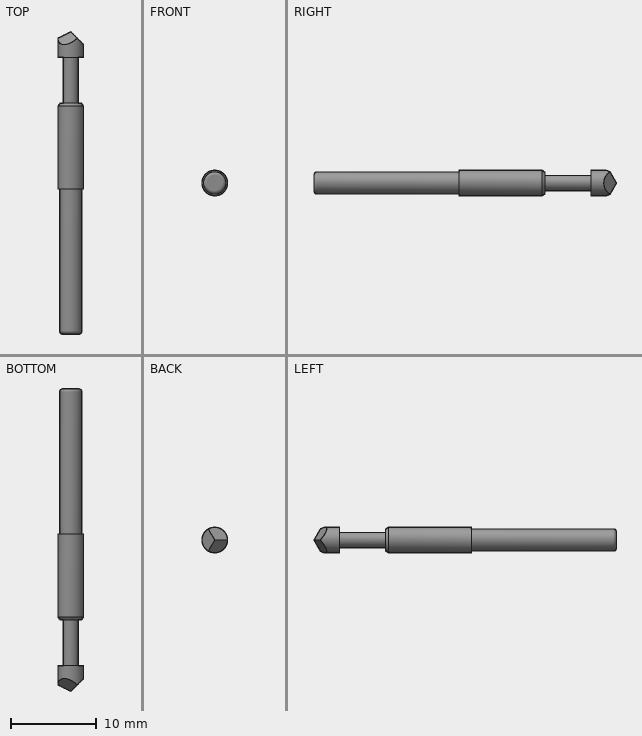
import cadquery as cq
import math

head_diameter = 3.0
barrel_diameter = 3.0
plunger_diameter = 1.8
tail_diameter = 2.6

total_length = 35.3
head_length = 3.0
barrel_start = 8.33
barrel_end = 18.35

barrel_chamfer_radial = 0.25
barrel_chamfer_axial = 0.35
tail_fillet = 0.4

facet_count = 3
facet_angle = 45.0

tip_y = total_length / 2


def cylinder(diameter, start, end):
    """Solid cylinder on the Y axis between two distances back from the tip."""
    return (
        cq.Workplane("XZ", origin=(0, tip_y - start, 0))
        .circle(diameter / 2)
        .extrude(end - start)
    )


def make_pyramid():
    """Pyramid with its apex at the tip and one facet facing +X."""
    facet_distance = head_length / math.tan(math.radians(facet_angle))
    corner_distance = facet_distance / math.cos(math.pi / facet_count)
    corners = []
    for index in range(facet_count):
        angle = (2 * index + 1) * math.pi / facet_count
        corners.append((corner_distance * math.cos(angle), corner_distance * math.sin(angle)))

    base_y = tip_y - head_length
    apex = cq.Vector(0, tip_y, 0)
    base = [cq.Vector(x, base_y, z) for x, z in corners]
    faces = [cq.Face.makeFromWires(cq.Wire.makePolygon(base, close=True))]
    for index in range(facet_count):
        triangle = [base[index], base[(index + 1) % facet_count], apex]
        faces.append(cq.Face.makeFromWires(cq.Wire.makePolygon(triangle, close=True)))
    return cq.Workplane(cq.Solid.makeSolid(cq.Shell.makeShell(faces)))


def make_head():
    """Round head trimmed to the three-sided point."""
    return cylinder(head_diameter, 0, head_length).intersect(make_pyramid())


def make_barrel():
    """Wide sleeve, chamfered where the plunger leaves it."""
    barrel = cylinder(barrel_diameter, barrel_start, barrel_end)
    return barrel.cut(make_chamfer_ring())


def make_chamfer_ring():
    """Triangular ring removed from the front edge of the barrel."""
    radius = barrel_diameter / 2
    front_y = tip_y - barrel_start
    return (
        cq.Workplane("XY")
        .moveTo(radius - barrel_chamfer_radial, front_y)
        .lineTo(radius, front_y)
        .lineTo(radius, front_y - barrel_chamfer_axial)
        .close()
        .revolve(360, (0, 0, 0), (0, 1, 0))
    )


def make_tail():
    """Narrower rear shank with a rounded end."""
    return cylinder(tail_diameter, barrel_end, total_length).faces("<Y").edges().fillet(tail_fillet)


plunger = cylinder(plunger_diameter, head_length, barrel_start)

result = make_head().union(plunger).union(make_barrel()).union(make_tail())